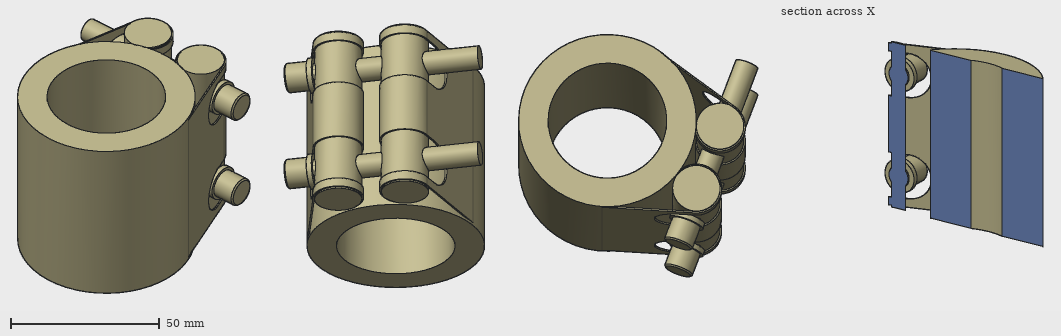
import cadquery as cq
import math

sleeve_radius = 60.0 / 2
bore_diameter = 40.0
sleeve_height = 61.0

roller_radius = 16.0 / 2
roller_height = 60.0
roller_x = 11.5

band_thickness = 0.5
band_height = 58.9
band_radius = roller_radius + band_thickness
slot_width = 16.0
slot_end_y = 25.7

overall_length = 74.8
roller_y = overall_length - sleeve_radius - band_radius
screw_z = 18.3
screw_diameter = 8.0
screw_tip_x = -37.6
washer_diameter = 12
washer_thickness = 1.8
head_diameter = 10.0
head_length = 8.0
head_chamfer = 0.5


def upright(outline, height):
    """Extrude a plan outline symmetrically about the XY plane."""
    return outline.extrude(height / 2, both=True)


def polar(center, radius, angle):
    """Point on a circle in plan, angle in radians."""
    return (center[0] + radius * math.cos(angle), center[1] + radius * math.sin(angle))


def make_band():
    """Right half of the band: tangent strip from the sleeve, then a wrap over the roller."""
    origin = (0, 0)
    roller_center = (roller_x, roller_y)
    center_distance = math.hypot(roller_x, roller_y)
    center_angle = math.atan2(roller_y, roller_x)
    tangent_angle = center_angle - math.acos((sleeve_radius - band_radius) / center_distance)
    contact_angle = center_angle + math.pi
    wrap_middle = (tangent_angle + contact_angle) / 2

    outline = (
        cq.Workplane("XY")
        .moveTo(*polar(origin, sleeve_radius, tangent_angle))
        .lineTo(*polar(roller_center, band_radius, tangent_angle))
        .threePointArc(
            polar(roller_center, band_radius, wrap_middle),
            polar(roller_center, band_radius, contact_angle),
        )
        .lineTo(*polar(roller_center, roller_radius, contact_angle))
        .threePointArc(
            polar(roller_center, roller_radius, wrap_middle),
            polar(roller_center, roller_radius, tangent_angle),
        )
        .lineTo(*polar(origin, sleeve_radius - band_thickness, tangent_angle))
        .close()
    )
    return upright(outline, band_height)


def make_slot(z):
    """Round-bottomed cutter, running along X and open at the top of the wrap."""
    slot_radius = slot_width / 2
    arc_y = slot_end_y + slot_radius
    outline = (
        cq.Workplane("YZ")
        .moveTo(overall_length, z - slot_radius)
        .lineTo(arc_y, z - slot_radius)
        .threePointArc((slot_end_y, z), (arc_y, z + slot_radius))
        .lineTo(overall_length, z + slot_radius)
        .close()
    )
    return outline.extrude(sleeve_radius, both=True)


def make_screw(z):
    """Screw along X with a washer seated against the right roller."""
    def rod(start_x, length, diameter):
        plane = cq.Workplane("YZ", origin=(start_x, roller_y, z))
        return plane.circle(diameter / 2).extrude(length)

    washer_x = roller_x + roller_radius
    head_x = washer_x + washer_thickness
    shank = rod(screw_tip_x, head_x - screw_tip_x, screw_diameter)
    washer = rod(washer_x, washer_thickness, washer_diameter)
    head = rod(head_x, head_length, head_diameter).faces(">X").chamfer(head_chamfer)
    return shank.union(washer).union(head)


right_band = make_band()
band = right_band.union(right_band.mirror("YZ"))
for z in (-screw_z, screw_z):
    band = band.cut(make_slot(z))

sleeve = upright(cq.Workplane("XY").circle(sleeve_radius), sleeve_height)
bore = upright(cq.Workplane("XY").circle(bore_diameter / 2), sleeve_height)
roller_centers = [(-roller_x, roller_y), (roller_x, roller_y)]
rollers = upright(cq.Workplane("XY").pushPoints(roller_centers).circle(roller_radius), roller_height)

result = sleeve.cut(bore).union(band).union(rollers)
for z in (-screw_z, screw_z):
    result = result.union(make_screw(z))